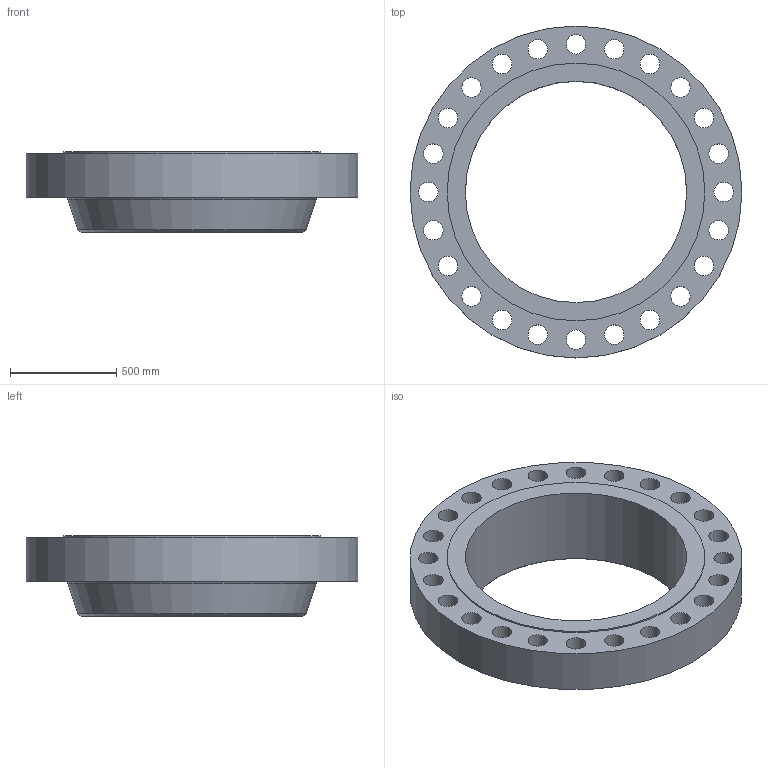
import cadquery as cq
import math

flange_diameter = 1562.1
flange_thickness = 206.4
overall_height = 377.82
face_diameter = 1212.85
face_height = 6.4
bore_diameter = 1041.4

hub_base_diameter = 1174.8
hub_fillet_radius = 14.0
neck_diameter = 1075.0
weld_land = 1.6
bevel_angle = 37.5

bolt_circle_diameter = 1390.65
bolt_hole_diameter = 92.1
bolt_count = 24

flange_top = overall_height - face_height
flange_bottom = flange_top - flange_thickness
bore_radius = bore_diameter / 2
neck_radius = neck_diameter / 2
land_radius = bore_radius + weld_land
bevel_height = (neck_radius - land_radius) * math.tan(math.radians(bevel_angle))

pick_margin = 1.0


def make_hub():
    """Solid of the conical hub, ending in the weld bevel."""
    profile = (
        cq.Workplane("XZ")
        .moveTo(0, 0)
        .lineTo(land_radius, 0)
        .lineTo(neck_radius, bevel_height)
        .lineTo(hub_base_diameter / 2, flange_bottom)
        .lineTo(0, flange_bottom)
        .close()
    )
    return profile.revolve(360, (0, 0, 0), (0, 1, 0))


def make_ring():
    """Flange disc with its raised sealing face."""
    disc = (
        cq.Workplane("XY")
        .workplane(offset=flange_bottom)
        .circle(flange_diameter / 2)
        .extrude(flange_thickness)
    )
    return disc.faces(">Z").workplane().circle(face_diameter / 2).extrude(face_height)


def fillet_hub_root(body):
    """Round the inside corner between hub and flange."""
    half = hub_base_diameter / 2 + pick_margin
    root_edges = cq.selectors.BoxSelector(
        (-half, -half, flange_bottom - pick_margin),
        (half, half, flange_bottom + pick_margin),
        boundingbox=True,
    )
    return body.edges(root_edges).fillet(hub_fillet_radius)


def cut_bore(body):
    """Open the straight bore through the full height."""
    bore = cq.Workplane("XY").circle(bore_radius).extrude(overall_height)
    return body.cut(bore)


def cut_bolt_holes(body):
    """Drill the ring of bolt holes through the flange."""
    holes = (
        cq.Workplane("XY")
        .workplane(offset=flange_bottom)
        .polarArray(bolt_circle_diameter / 2, 0, 360, bolt_count)
        .circle(bolt_hole_diameter / 2)
        .extrude(flange_thickness)
    )
    return body.cut(holes)


blank = fillet_hub_root(make_ring().union(make_hub()))
result = cut_bolt_holes(cut_bore(blank))